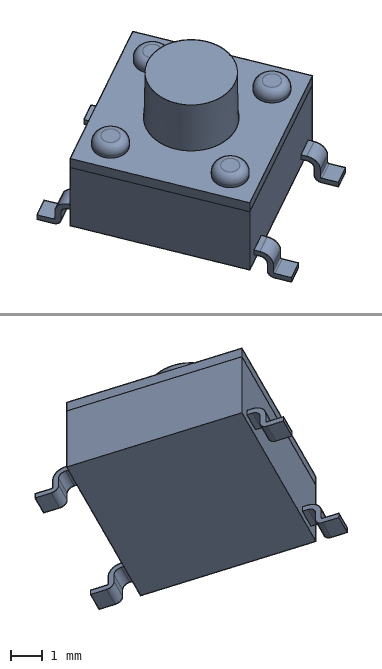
import cadquery as cq
import math

BASE_BOTTOM = 0.51
COVER_BOTTOM = 3.11
COVER_TOP = 3.51
BUTTON_TOP = 5.51

TOTAL_LENGTH = 8.5
CASE_SIDE = 6.0

BUTTON_FOOT_DIAMETER = 3.0
BUTTON_TOP_DIAMETER = 2.915
BUTTON_HOLE_DIAMETER = 3.02

STUD_DIAMETER = 1.2
STUD_HEIGHT = 0.4
STUD_ROUNDING = 0.3
STUD_SPACING = 3.995

LEAD_WIDTH = 0.7
LEAD_THICKNESS = 0.2
LEAD_SPACING = 4.5
LEAD_TOP = 1.02
SHANK_OFFSET = 0.65
SHOULDER_RADIUS = 0.45
HEEL_INNER_RADIUS = 0.05


def make_lead():
    """One lead on the +X side, centred on Y = 0, starting at the case wall."""
    wall = CASE_SIDE / 2
    tip = TOTAL_LENGTH / 2
    shank_outer = wall + SHANK_OFFSET
    shank_inner = shank_outer - LEAD_THICKNESS
    shoulder_x = shank_outer - SHOULDER_RADIUS
    shoulder_z = LEAD_TOP - SHOULDER_RADIUS
    shoulder_inner_radius = SHOULDER_RADIUS - LEAD_THICKNESS
    heel_x = shank_outer + HEEL_INNER_RADIUS
    heel_z = LEAD_THICKNESS + HEEL_INNER_RADIUS
    heel_outer_radius = HEEL_INNER_RADIUS + LEAD_THICKNESS
    diagonal = math.sqrt(0.5)

    def on_diagonal(x, z, radius):
        """Point of an arc halfway round; a negative radius picks the lower left half."""
        return (x + radius * diagonal, z + radius * diagonal)

    profile = (
        cq.Workplane("XZ")
        .moveTo(wall, LEAD_TOP)
        .lineTo(shoulder_x, LEAD_TOP)
        .threePointArc(on_diagonal(shoulder_x, shoulder_z, SHOULDER_RADIUS), (shank_outer, shoulder_z))
        .lineTo(shank_outer, heel_z)
        .threePointArc(on_diagonal(heel_x, heel_z, -HEEL_INNER_RADIUS), (heel_x, LEAD_THICKNESS))
        .lineTo(tip, LEAD_THICKNESS)
        .lineTo(tip, 0)
        .lineTo(heel_x, 0)
        .threePointArc(on_diagonal(heel_x, heel_z, -heel_outer_radius), (shank_inner, heel_z))
        .lineTo(shank_inner, shoulder_z)
        .threePointArc(
            on_diagonal(shoulder_x, shoulder_z, shoulder_inner_radius),
            (shoulder_x, LEAD_TOP - LEAD_THICKNESS),
        )
        .lineTo(wall, LEAD_TOP - LEAD_THICKNESS)
        .close()
    )
    return profile.extrude(LEAD_WIDTH / 2, both=True)


def make_button():
    """Round button standing on the base, tapering slightly from its foot to its top."""
    return (
        cq.Workplane("XY")
        .workplane(offset=COVER_BOTTOM)
        .circle(BUTTON_FOOT_DIAMETER / 2)
        .workplane(offset=BUTTON_TOP - COVER_BOTTOM)
        .circle(BUTTON_TOP_DIAMETER / 2)
        .loft(ruled=True)
    )


def make_switch_base():
    """Square base carrying the button and the four leads."""
    base = (
        cq.Workplane("XY")
        .workplane(offset=BASE_BOTTOM)
        .rect(CASE_SIDE, CASE_SIDE)
        .extrude(COVER_BOTTOM - BASE_BOTTOM)
        .union(make_button())
    )
    lead = make_lead()
    for turn in (0, 180):
        for y in (-LEAD_SPACING / 2, LEAD_SPACING / 2):
            base = base.union(lead.rotate((0, 0, 0), (0, 0, 1), turn).translate((0, y, 0)))
    return base


def make_cover():
    """Flat cover with a hole for the button and a domed stud near each corner."""
    plate = (
        cq.Workplane("XY")
        .workplane(offset=COVER_BOTTOM)
        .rect(CASE_SIDE, CASE_SIDE)
        .circle(BUTTON_HOLE_DIAMETER / 2)
        .extrude(COVER_TOP - COVER_BOTTOM)
    )
    studs = (
        cq.Workplane("XY")
        .workplane(offset=COVER_TOP)
        .rect(STUD_SPACING, STUD_SPACING, forConstruction=True)
        .vertices()
        .circle(STUD_DIAMETER / 2)
        .extrude(STUD_HEIGHT)
        .faces(">Z")
        .edges()
        .fillet(STUD_ROUNDING)
    )
    return plate.union(studs)


switch_base = make_switch_base()
cover = make_cover()

result = cq.Compound.makeCompound([switch_base.val(), cover.val()])